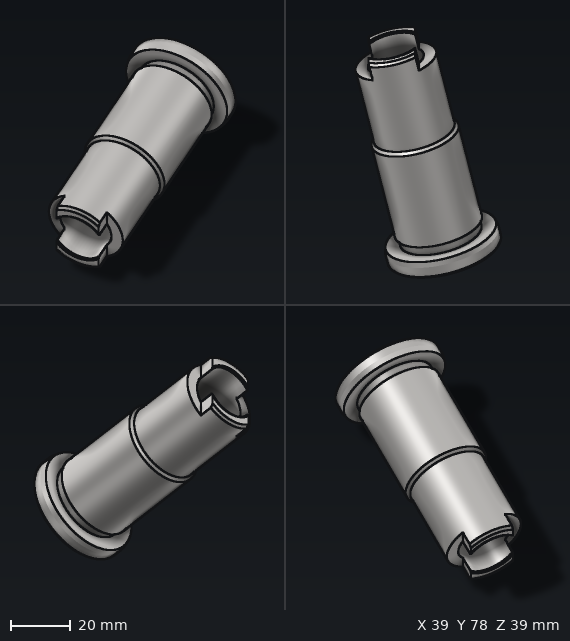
import cadquery as cq
import math

total_length = 78.0
head_length = 6.0
neck_length = 3.5
body_end = 45.0
counterbore_depth = 40.0

head_radius = 19.5
body_radius = 15.0
neck_radius = 14.0
nose_radius = 13.9
bore_radius = 8.0
counterbore_radius = 9.6

head_back_chamfer = 0.7
head_front_taper_length = 2.0
head_front_taper_height = 0.5
body_chamfer_length = 1.2
nose_chamfer = 1.0
mouth_chamfer = 0.5
bore_cone_half_angle = 59.0
bore_cone_length = (counterbore_radius - bore_radius) / math.tan(math.radians(bore_cone_half_angle))

tongue_width = 15.8
tongue_length = 6.0


def make_sleeve():
    """Revolve the half section, including the stepped bore, about the Y axis."""
    neck_end = head_length + neck_length
    cone_start = total_length - counterbore_depth
    section = [
        (bore_radius, 0),
        (head_radius - head_back_chamfer, 0),
        (head_radius, head_back_chamfer),
        (head_radius, head_length - head_front_taper_length),
        (head_radius - head_front_taper_height, head_length),
        (neck_radius, head_length),
        (neck_radius, neck_end),
        (body_radius, neck_end),
        (body_radius, body_end - body_chamfer_length),
        (nose_radius, body_end),
        (nose_radius, total_length - nose_chamfer),
        (nose_radius - nose_chamfer, total_length),
        (counterbore_radius + mouth_chamfer, total_length),
        (counterbore_radius, total_length - mouth_chamfer),
        (counterbore_radius, cone_start),
        (bore_radius, cone_start - bore_cone_length),
    ]
    outline = [(radius, -distance) for radius, distance in section]
    return cq.Workplane("XY").polyline(outline).close().revolve(360, (0, 0), (0, 1))


def make_side_cut(side):
    """Block that clears the nose beside the tongues, on the +X or -X side."""
    cut_width = nose_radius
    cut_height = 2 * nose_radius
    center_x = side * (tongue_width + cut_width) / 2
    center_y = tongue_length / 2 - total_length
    block = cq.Workplane("XY").box(cut_width, tongue_length, cut_height)
    return block.translate((center_x, center_y, 0))


result = make_sleeve()
for side in (-1, 1):
    result = result.cut(make_side_cut(side))